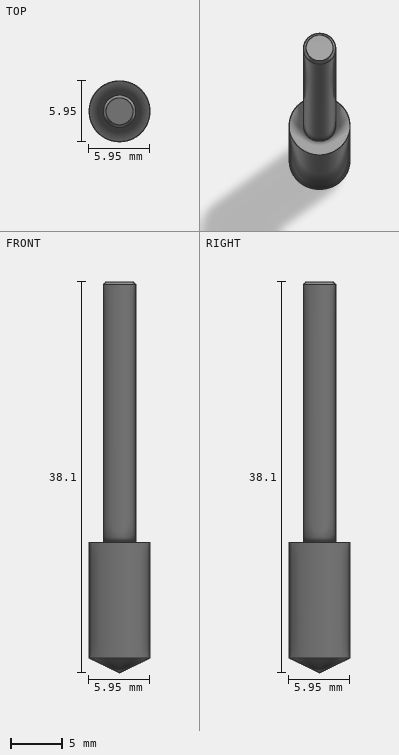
import cadquery as cq

total_length = 38.1
head_diameter = 5.95
head_length = 12.73
tip_height = 1.45
shank_diameter = 3.15
shank_chamfer = 0.25

head_radius = head_diameter / 2
shank_length = total_length - head_length


def make_head():
    """Cylindrical head with a shallow conical point, tip at the origin."""
    return (
        cq.Workplane("XZ")
        .moveTo(0, 0)
        .lineTo(head_radius, tip_height)
        .lineTo(head_radius, head_length)
        .lineTo(0, head_length)
        .close()
        .revolve(360, (0, 0, 0), (0, 1, 0))
    )


def make_shank():
    """Round shank standing on the head shoulder, chamfered at its free end."""
    return (
        cq.Workplane("XY")
        .workplane(offset=head_length)
        .circle(shank_diameter / 2)
        .extrude(shank_length)
        .faces(">Z")
        .edges()
        .chamfer(shank_chamfer)
    )


head = make_head()
shank = make_shank()

result = cq.Compound.makeCompound([head.val(), shank.val()])